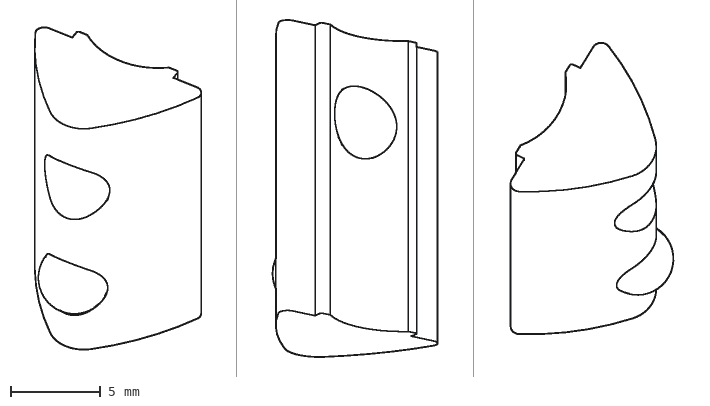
import cadquery as cq
import math

length = 17.0
half_width = 5.25
depth = 6.9

lug_half_width = 3.25
lug_height = 0.6
lug_fillet = 0.14
groove_half_width = 2.62
groove_depth = 0.9

wing_radius = 0.51
wing_end_angle = math.radians(26)
nose_half_width = 1.33
nose_depth = 0.51
flank_radius = 17.0

hole_diameter = 4.18
hole_z = 11.98

ball_diameter = 4.01
ball_z = 4.52
ball_projection = 1.09
ball_radius = ball_diameter / 2
ball_y = -depth - ball_projection + ball_radius


def mirror_x(point):
    return (-point[0], point[1])


def flank_middle(start, end):
    """Middle of the flank arc on the +X side, bulging away from the axis."""
    dx = end[0] - start[0]
    dy = end[1] - start[1]
    chord = math.hypot(dx, dy)
    bulge = flank_radius - math.sqrt(flank_radius**2 - (chord / 2) ** 2)
    middle_x = (start[0] + end[0]) / 2 - dy / chord * bulge
    middle_y = (start[1] + end[1]) / 2 + dx / chord * bulge
    return (middle_x, middle_y)


def nut_section():
    wing_x = half_width - wing_radius
    wing_y = -lug_height - wing_radius

    def wing_point(angle):
        return (wing_x + wing_radius * math.cos(angle), wing_y + wing_radius * math.sin(angle))

    groove_edge = (groove_half_width, 0)
    lug_top = (lug_half_width, 0)
    lug_root = (lug_half_width, -lug_height)
    wing_start = (wing_x, -lug_height)
    wing_middle = wing_point((math.pi / 2 - wing_end_angle) / 2)
    wing_end = wing_point(-wing_end_angle)
    nose_edge = (nose_half_width, -depth + nose_depth)
    flank_mid = flank_middle(wing_end, nose_edge)

    return (
        cq.Workplane("XY")
        .moveTo(*groove_edge)
        .lineTo(*lug_top)
        .lineTo(*lug_root)
        .lineTo(*wing_start)
        .threePointArc(wing_middle, wing_end)
        .threePointArc(flank_mid, nose_edge)
        .threePointArc((0, -depth), mirror_x(nose_edge))
        .threePointArc(mirror_x(flank_mid), mirror_x(wing_end))
        .threePointArc(mirror_x(wing_middle), mirror_x(wing_start))
        .lineTo(*mirror_x(lug_root))
        .lineTo(*mirror_x(lug_top))
        .lineTo(*mirror_x(groove_edge))
        .threePointArc((0, -groove_depth), groove_edge)
        .close()
    )


def bore_from_front(diameter, z, end_y):
    """Cylinder along Y from the nose tip back to end_y."""
    return (
        cq.Workplane("XZ", origin=(0, -depth, z))
        .circle(diameter / 2)
        .extrude(-(depth + end_y))
    )


def make_nut():
    nut = nut_section().extrude(length)
    for side in (-1, 1):
        lug_corner = cq.selectors.NearestToPointSelector((side * lug_half_width, 0, length / 2))
        nut = nut.edges(lug_corner).fillet(lug_fillet)
    cross_hole = bore_from_front(hole_diameter, hole_z, 0)
    ball_pocket = bore_from_front(ball_diameter, ball_z, ball_y + ball_radius)
    return nut.cut(cross_hole).cut(ball_pocket)


def make_ball():
    return cq.Workplane("XY", origin=(0, ball_y, ball_z)).sphere(ball_radius)


nut = make_nut()
ball = make_ball()

result = cq.Compound.makeCompound([nut.solids().val(), ball.val()])